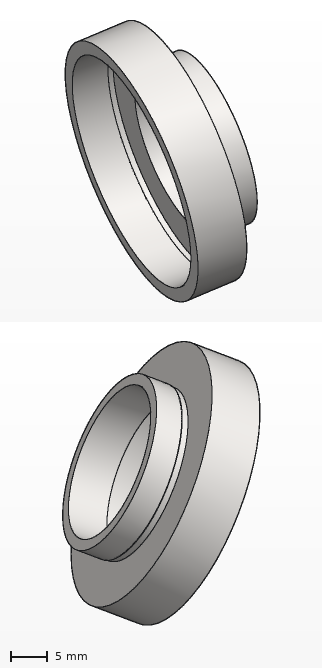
import cadquery as cq

flange_diameter = 38.1
total_length = 12.5

boss_diameter = 25.4
boss_length = 4.0
groove_diameter = 25.1
groove_width = 1.0
flange_length = total_length - boss_length - groove_width

recess_diameter = 34.0
recess_depth = 6.48
undercut_diameter = 34.8
undercut_width = 1.0
bore_diameter = 22.2

front_y = -total_length / 2


def cylinder(diameter, length, start_y):
    """Cylinder on the Y axis, extending toward +Y from start_y."""
    plane = cq.Plane(origin=(0, start_y, 0), xDir=(1, 0, 0), normal=(0, 1, 0))
    return cq.Workplane(plane).circle(diameter / 2).extrude(length)


groove_y = front_y + flange_length
boss_y = groove_y + groove_width
flange = cylinder(flange_diameter, flange_length, front_y)
groove = cylinder(groove_diameter, groove_width, groove_y)
boss = cylinder(boss_diameter, boss_length, boss_y)
body = flange.union(groove).union(boss)

recess = cylinder(recess_diameter, recess_depth, front_y)
undercut_y = front_y + recess_depth - undercut_width
undercut = cylinder(undercut_diameter, undercut_width, undercut_y)
bore = cylinder(bore_diameter, total_length, front_y)
result = body.cut(recess).cut(undercut).cut(bore)